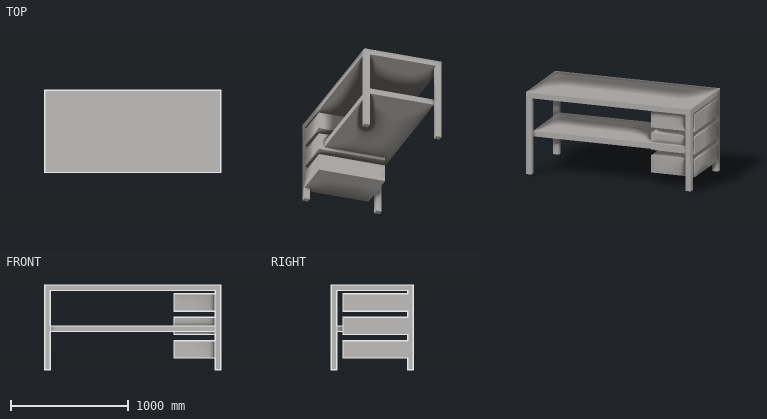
import cadquery as cq

length = 1500.0
depth = 700.0
height = 725.0

stock = 50.0

shelf_bottom = 325.0

drawer_length = 400.0
drawer_depth = 600.0
drawer_height = 150.0
drawer_pitch = 200.0
lowest_drawer_bottom = 100.0
drawer_count = 3

joint_overlap = 0.8

inner_x = length / 2 - stock
inner_y = depth / 2 - stock


def block(x_min, y_min, z_min, x_size, y_size, z_size):
    """Box placed by its lowest corner."""
    return cq.Workplane("XY").box(x_size, y_size, z_size, centered=False).translate((x_min, y_min, z_min))


def make_tabletop():
    return block(-length / 2, -depth / 2, height - stock, length, depth, stock)


def make_legs():
    return (
        cq.Workplane("XY")
        .rect(length - stock, depth - stock, forConstruction=True)
        .vertices()
        .rect(stock, stock)
        .extrude(height - stock)
    )


def make_shelf():
    reach_x = inner_x + joint_overlap
    reach_y = inner_y + joint_overlap
    return block(-reach_x, -reach_y, shelf_bottom, 2 * reach_x, 2 * reach_y, stock)


def make_drawer(bottom):
    return block(
        length / 2 - drawer_length,
        depth / 2 - drawer_depth,
        bottom,
        drawer_length,
        drawer_depth,
        drawer_height,
    )


table = make_tabletop().union(make_legs()).union(make_shelf())
for level in range(drawer_count):
    table = table.union(make_drawer(lowest_drawer_bottom + level * drawer_pitch))

result = table